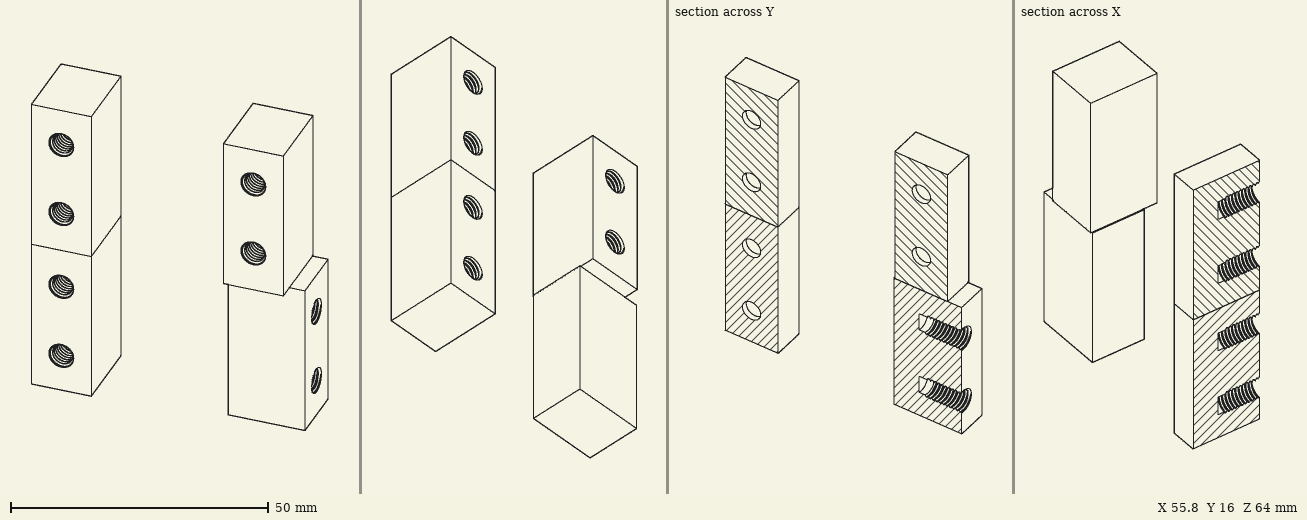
import cadquery as cq

leaf_width = 12.5
leaf_depth = 16.0
leaf_height = 32.0

axis_to_back_face = 6.5
axis_x = leaf_width / 2
axis_y = leaf_depth - axis_to_back_face

hinge_spacing = 40.0
open_angle = 90.0

hole_end_distance = 7.875
hole_spacing = 15.8
hole_depth = 10.0
countersink_diameter = 5.2
thread_major_diameter = 5.0
thread_minor_diameter = 4.2
thread_pitch = 0.8
thread_run_out = 2 * thread_pitch
crest_width = thread_pitch / 8
root_width = thread_pitch / 4
groove_overlap = 0.05

minor_radius = thread_minor_diameter / 2
major_radius = thread_major_diameter / 2


def point_into_face(cutter):
    """Turn a cutter made along +Z so that it points along +Y, into the front face."""
    return cutter.rotate((0, 0, 0), (1, 0, 0), -90)


def bore_cutter():
    """Flat-bottomed bore with a countersunk mouth."""
    countersink_radius = countersink_diameter / 2
    countersink_depth = countersink_radius - minor_radius
    half_section = (
        cq.Workplane("XZ")
        .lineTo(countersink_radius, 0)
        .lineTo(minor_radius, countersink_depth)
        .lineTo(minor_radius, hole_depth)
        .lineTo(0, hole_depth)
        .close()
    )
    return point_into_face(half_section.revolve(360, (0, 0, 0), (0, 1, 0)))


def thread_groove_cutter():
    """Helical V groove with a flat root."""
    half_root = root_width / 2
    half_mouth = (thread_pitch - crest_width) / 2
    flank_slope = (half_mouth - half_root) / (major_radius - minor_radius)
    inner_radius = minor_radius - groove_overlap
    half_inner = half_mouth + flank_slope * groove_overlap
    section = (
        cq.Workplane("XZ")
        .moveTo(inner_radius, -half_inner)
        .lineTo(major_radius, -half_root)
        .lineTo(major_radius, half_root)
        .lineTo(inner_radius, half_inner)
        .close()
    )

    groove_length = thread_pitch + hole_depth - thread_run_out
    path = cq.Wire.makeHelix(thread_pitch, groove_length, minor_radius)
    groove = section.sweep(path, isFrenet=True).translate((0, 0, -thread_pitch))
    return point_into_face(groove)


def leaf(bottom_z, hole_heights):
    """Rectangular leaf with threaded holes at the given heights on its front face."""
    block = cq.Workplane("XY").box(leaf_width, leaf_depth, leaf_height, centered=False)
    block = block.translate((0, 0, bottom_z))
    for height in hole_heights:
        hole_start = (leaf_width / 2, 0, height)
        block = block.cut(bore_cutter().translate(hole_start))
        block = block.cut(thread_groove_cutter().translate(hole_start))
    return block


def lower_leaf():
    return leaf(0, [hole_end_distance, hole_end_distance + hole_spacing])


def upper_leaf():
    top_hole_z = 2 * leaf_height - hole_end_distance
    return leaf(leaf_height, [top_hole_z, top_hole_z - hole_spacing])


def hinge(left_x, swing_angle):
    """Both leaves of one hinge, the lower one swung about the hinge axis."""
    swung_leaf = lower_leaf().rotate((axis_x, axis_y, 0), (axis_x, axis_y, 1), swing_angle)
    return [body.translate((left_x, 0, 0)).solids().val() for body in (swung_leaf, upper_leaf())]


closed_hinge = hinge(0, 0)
open_hinge = hinge(hinge_spacing, open_angle)

result = cq.Compound.makeCompound([*closed_hinge, *open_hinge])